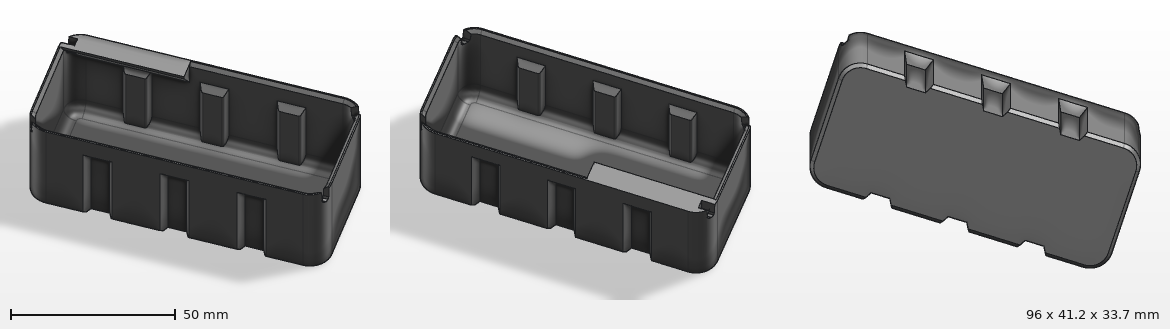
import cadquery as cq
import math

length = 96.0
width = 41.2
height = 33.7
corner_radius = 7.0
wall = 1.6
floor_thickness = 1.5
floor_fillet = 4.0
bottom_chamfer = 1.2
rim_flat = 0.5
rim_chamfer = wall - rim_flat
rim_flare_angle = 45

groove_pitch = 24.6
groove_count = 3
groove_width = 9.2
groove_floor_width = 6.0
groove_depth = 3.0
groove_top = 27.2
rib_skin = 0.8

ledge_length = 40.0
ledge_width = 7.0
ledge_lip = 1.0
ledge_drop = 10.6

notch_inset = 3.7
notch_length = 4.5
notch_depth = 5.3
notch_top_width = 2.9
notch_bottom_radius = 1.2

cavity_length = length - 2 * wall
cavity_width = width - 2 * wall
cavity_radius = corner_radius - wall
overshoot = 1.0


def rounded_block(size_x, size_y, size_z, radius, base_z):
    block = cq.Workplane("XY").box(size_x, size_y, size_z, centered=(True, True, False))
    return block.edges("|Z").fillet(radius).translate((0, 0, base_z))


def outer_block():
    block = rounded_block(length, width, height, corner_radius, 0)
    return block.faces("<Z").edges().chamfer(bottom_chamfer)


def cavity():
    """Space inside the walls, rounded at the floor and flared at the rim."""
    depth = height - floor_thickness
    space = rounded_block(cavity_length, cavity_width, depth, cavity_radius, floor_thickness)
    space = space.faces("<Z").edges().fillet(floor_fillet)
    flare = (
        cq.Workplane("XY", origin=(0, 0, height - rim_chamfer))
        .sketch().rect(cavity_length, cavity_width).vertices().fillet(cavity_radius).finalize()
        .extrude(rim_chamfer, taper=-rim_flare_angle)
    )
    return space.union(flare)


def tapered_bar(skin, base_z):
    """Trapezoid bar on the front wall with a 45 degree top, grown outward by skin."""
    side_run = (groove_width - groove_floor_width) / 2
    half_mouth = groove_width / 2
    half_floor = groove_floor_width / 2
    front = -width / 2
    extra = side_run / groove_depth * overshoot
    outline = cq.Workplane("XY").polyline([
        (-half_mouth - extra, front - overshoot),
        (half_mouth + extra, front - overshoot),
        (half_floor, front + groove_depth),
        (-half_floor, front + groove_depth),
    ]).close()
    if skin > 0:
        outline = outline.offset2D(skin)
    bar = outline.extrude(height).translate((0, 0, base_z))
    top_at_wall = groove_top + skin * math.sqrt(2)
    outer_y = front - 2 * overshoot
    inner_y = front + groove_depth + skin + overshoot
    below_top = cq.Workplane("YZ").polyline([
        (outer_y, base_z),
        (inner_y, base_z),
        (inner_y, top_at_wall - (inner_y - front)),
        (outer_y, top_at_wall + (front - outer_y)),
    ]).close().extrude(length, both=True)
    return bar.intersect(below_top)


def on_both_long_walls(bar):
    """Repeat a front wall bar along X and mirror the row to the back wall."""
    row = cq.Workplane("XY")
    for index in range(groove_count):
        offset = (index - (groove_count - 1) / 2) * groove_pitch
        row = row.add(bar.translate((offset, 0, 0)))
    row = row.combine()
    return row.union(row.mirror("XZ"))


def ledge():
    """Rim shelf in the back left corner, carried on a steep sloping underside."""
    back = width / 2
    edge = back - ledge_width
    return cq.Workplane("YZ", origin=(-length / 2, 0, 0)).polyline([
        (back, height),
        (edge, height),
        (edge, height - ledge_lip),
        (back, height - ledge_drop),
    ]).close().extrude(ledge_length)


def notches():
    """Tapered slots through the four rim corners; each bottom is half an octagon, point down."""
    bottom_centre = height - notch_depth + notch_bottom_radius
    profile = [(-notch_top_width / 2, height)]
    for degrees in range(180, 361, 45):
        angle = math.radians(degrees)
        profile.append((
            notch_bottom_radius * math.cos(angle),
            bottom_centre + notch_bottom_radius * math.sin(angle),
        ))
    profile.append((notch_top_width / 2, height))
    slot = (
        cq.Workplane("YZ", origin=(-length / 2, -width / 2 + notch_inset, 0))
        .polyline(profile).close()
        .extrude(notch_length)
    )
    pair = slot.union(slot.mirror("XZ"))
    return pair.union(pair.mirror("YZ"))


envelope = outer_block()
ribs = on_both_long_walls(tapered_bar(rib_skin, 0)).intersect(envelope)
result = (
    envelope
    .cut(cavity())
    .union(ribs)
    .union(ledge().intersect(envelope))
    .cut(on_both_long_walls(tapered_bar(0, -overshoot)))
    .cut(notches())
)